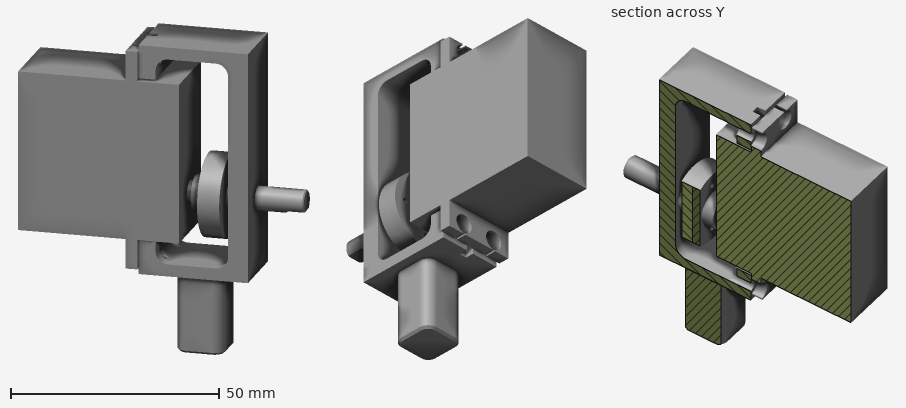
import cadquery as cq


SERVO_REAR = 29.75
SERVO_FRONT = 10.3
SERVO_WIDTH = 20.0
SERVO_HEIGHT = 40.0
FLANGE_THICKNESS = 3.0
FLANGE_HEIGHT = 54.85
FLANGE_HOLE_DIAMETER = 5.1
FLANGE_SLOT_WIDTH = 1.0
OUTPUT_DIAMETER = 6.0
OUTPUT_LENGTH = 1.4
CENTER_Z = 10.1

HOLE_SPACING_Y = 10.0
HOLE_SPACING_Z = 49.0

BRACKET_DEPTH = 27.3
BRACKET_WIDTH = 18.0
BRACKET_HEIGHT = 57.7
BRACKET_WALL = 3.0
BACK_WALL = 5.0
LIP_THICKNESS = 4.3
LIP_OPENING = 41.0
CAVITY_RADIUS = 3.0
BRACKET_HOLE_DIAMETER = 2.6
NOTCH_WIDTH = 2.0
NOTCH_DEPTH = 2.3

HUB_DIAMETER = 9.0
HUB_LENGTH = 3.3
DISC_DIAMETER = 21.0
HORN_DISC_THICKNESS = 2.4
SHAFT_DISC_THICKNESS = 3.1
HORN_HOLE_DIAMETER = 1.5
HORN_HOLE_RADIUS = 7.0
HORN_HOLE_COUNT = 4
SHOULDER_DIAMETER = 8.0
SHAFT_DIAMETER = 6.0
SHAFT_OVERHANG = 12.2
FLAT_LENGTH = 4.9
FLAT_DEPTH = 0.9
SHAFT_CHAMFER = 0.3

POST_SIZE = 12.05
POST_LENGTH = 20.0
POST_CORNER_RADIUS = 2.9
POST_CHAMFER = 0.6
POST_X = 14.2

HUB_X = SERVO_FRONT + OUTPUT_LENGTH
HORN_DISC_X = HUB_X + HUB_LENGTH
SHAFT_DISC_X = HORN_DISC_X + HORN_DISC_THICKNESS
SHOULDER_X = SHAFT_DISC_X + SHAFT_DISC_THICKNESS
BACK_WALL_X = BRACKET_DEPTH - BACK_WALL
SHAFT_END_X = BRACKET_DEPTH + SHAFT_OVERHANG
BRACKET_BOTTOM = CENTER_Z - BRACKET_HEIGHT / 2


def box(x_start, x_end, width, height, z_center=CENTER_Z):
    """Block from x_start to x_end, centred on Y = 0 and z_center."""
    block = cq.Workplane("XY").box(x_end - x_start, width, height, centered=(False, True, True))
    return block.translate((x_start, 0, z_center))


def rod(x_start, x_end, diameter):
    """Cylinder on the output axis from x_start to x_end."""
    return cq.Workplane("YZ", origin=(x_start, 0, 0)).circle(diameter / 2).extrude(x_end - x_start)


def mounting_holes(x_start, x_end, diameter):
    """Four cylinders along X at the corners of the mounting pattern."""
    pattern = cq.Workplane("YZ", origin=(x_start, 0, CENTER_Z)).rect(
        HOLE_SPACING_Y, HOLE_SPACING_Z, forConstruction=True
    )
    return pattern.vertices().circle(diameter / 2).extrude(x_end - x_start)


def make_servo():
    case = box(-SERVO_REAR, SERVO_FRONT, SERVO_WIDTH, SERVO_HEIGHT)
    flange = box(-FLANGE_THICKNESS, 0, SERVO_WIDTH, FLANGE_HEIGHT)
    flange = flange.cut(mounting_holes(-FLANGE_THICKNESS, 0, FLANGE_HOLE_DIAMETER))

    slot_length = (FLANGE_HEIGHT - HOLE_SPACING_Z) / 2
    for y_side in (-1, 1):
        for z_side in (-1, 1):
            slot_z = CENTER_Z + z_side * (HOLE_SPACING_Z + slot_length) / 2
            slot = box(-FLANGE_THICKNESS, 0, FLANGE_SLOT_WIDTH, slot_length, slot_z)
            flange = flange.cut(slot.translate((0, y_side * HOLE_SPACING_Y / 2, 0)))

    output = rod(SERVO_FRONT, HUB_X, OUTPUT_DIAMETER)
    return case.union(flange).union(output)


def make_bracket():
    frame = box(0, BRACKET_DEPTH, BRACKET_WIDTH, BRACKET_HEIGHT)
    cavity = box(LIP_THICKNESS, BACK_WALL_X, BRACKET_WIDTH, BRACKET_HEIGHT - 2 * BRACKET_WALL)
    cavity = cavity.edges("|Y").fillet(CAVITY_RADIUS)
    opening = box(0, LIP_THICKNESS, BRACKET_WIDTH, LIP_OPENING)
    notches = box(0, NOTCH_DEPTH, NOTCH_WIDTH, BRACKET_HEIGHT)
    frame = frame.cut(cavity).cut(opening).cut(notches)

    frame = frame.cut(mounting_holes(0, LIP_THICKNESS + CAVITY_RADIUS, BRACKET_HOLE_DIAMETER))
    return frame.cut(rod(BACK_WALL_X, BRACKET_DEPTH, SHAFT_DIAMETER))


def make_horn():
    hub = rod(HUB_X, HORN_DISC_X, HUB_DIAMETER)
    disc = rod(HORN_DISC_X, SHAFT_DISC_X, DISC_DIAMETER)
    holes = (
        cq.Workplane("YZ", origin=(HORN_DISC_X, 0, 0))
        .polarArray(HORN_HOLE_RADIUS, 0, 360, HORN_HOLE_COUNT)
        .circle(HORN_HOLE_DIAMETER / 2)
        .extrude(HORN_DISC_THICKNESS)
    )
    return hub.union(disc).cut(holes)


def make_drive_shaft():
    disc = rod(SHAFT_DISC_X, SHOULDER_X, DISC_DIAMETER)
    shoulder = rod(SHOULDER_X, BACK_WALL_X, SHOULDER_DIAMETER)
    shaft = rod(BACK_WALL_X, SHAFT_END_X, SHAFT_DIAMETER).faces(">X").chamfer(SHAFT_CHAMFER)
    flat_z = -SHAFT_DIAMETER / 2 + FLAT_DEPTH / 2
    flat = box(SHAFT_END_X - FLAT_LENGTH, SHAFT_END_X, SHAFT_DIAMETER, FLAT_DEPTH, flat_z)
    return disc.union(shoulder).union(shaft.cut(flat))


def make_post():
    post = cq.Workplane("XY", origin=(POST_X, 0, BRACKET_BOTTOM)).rect(POST_SIZE, POST_SIZE)
    post = post.extrude(-POST_LENGTH).edges("|Z").fillet(POST_CORNER_RADIUS)
    return post.faces("<Z").chamfer(POST_CHAMFER)


servo = make_servo()
bracket = make_bracket()
horn = make_horn()
drive_shaft = make_drive_shaft()
post = make_post()

result = cq.Compound.makeCompound(
    [servo.val(), bracket.val(), horn.val(), drive_shaft.val(), post.val()]
)